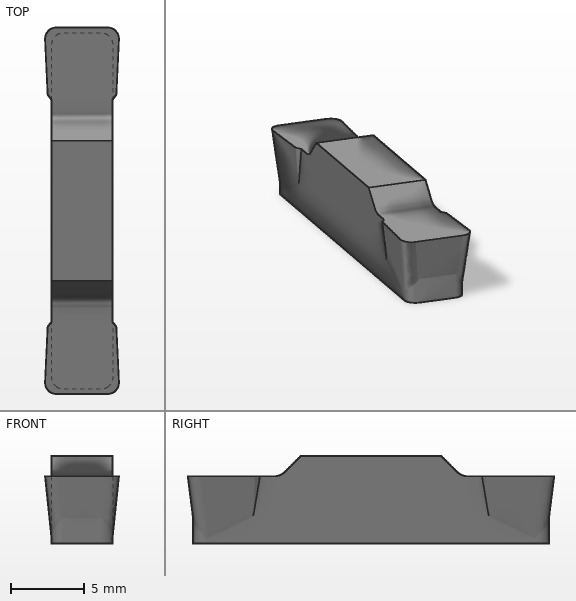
import cadquery as cq
import math

length = 25.02
height = 5.98
ledge_height = 4.6
body_width = 4.18
body_length = 24.3
plateau_length = 9.58
ramp_angle = 45.0
ramp_foot_radius = 1.0
corner_radius = 0.8

shoulder_half_width = 2.35
shoulder_y = 7.93
shoulder_drift = 0.036
shoulder_radius = 0.15
side_taper_angle = 2.7
side_relief_angle = 5.6
front_relief_angle = 7.2
rear_face_angle = 54.0
head_root_half_width = 1.5


def tangent(angle):
    return math.tan(math.radians(angle))


def make_body():
    """Bar with rounded vertical ends and filleted ramps up to the plateau."""
    half_body = body_length / 2
    half_plateau = plateau_length / 2
    ramp_foot = half_plateau + (height - ledge_height) / tangent(ramp_angle)
    profile = [
        (-half_body, 0),
        (half_body, 0),
        (half_body, ledge_height),
        (ramp_foot, ledge_height),
        (half_plateau, height),
        (-half_plateau, height),
        (-ramp_foot, ledge_height),
        (-half_body, ledge_height),
    ]
    body = cq.Workplane("YZ").polyline(profile).close().extrude(body_width / 2, both=True)
    body = body.edges("|Z").fillet(corner_radius)
    margin = 0.25
    ramp_feet = cq.selectors.BoxSelector(
        (-body_width, -ramp_foot - margin, ledge_height - margin),
        (body_width, ramp_foot + margin, ledge_height + margin),
    )
    return body.edges("|X").edges(ramp_feet).fillet(ramp_foot_radius)


def head_section(depth):
    """Right half of the +Y head outline, rear to front, at a depth below the ledge."""
    front_y = length / 2 - depth * tangent(front_relief_angle)
    rear_y = shoulder_y + shoulder_drift * depth
    front_x = (
        shoulder_half_width
        + (front_y - shoulder_y) * tangent(side_taper_angle)
        - depth * tangent(side_relief_angle)
    )
    rear_x = front_x - (front_y - rear_y) * tangent(side_taper_angle)
    root_y = rear_y - (rear_x - head_root_half_width) * tangent(rear_face_angle)
    return [(head_root_half_width, root_y), (rear_x, rear_y), (front_x, front_y)]


def make_head():
    """Head at the +Y end, with rounded front corners and softened shoulders."""

    def outline(depth):
        right = head_section(depth)
        left = [(-x, y) for x, y in reversed(right)]
        return right + left

    head = (
        cq.Workplane("XY")
        .polyline(outline(ledge_height)).close()
        .workplane(offset=ledge_height)
        .polyline(outline(0)).close()
        .loft(ruled=True, combine=True)
    )
    _, shoulder_top, front_top = head_section(0)
    _, shoulder_bottom, front_bottom = head_section(ledge_height)

    def round_pair(solid, top, bottom, radius):
        """Fillet the mirrored pair of upright edges through the given corners."""
        middle_x = (top[0] + bottom[0]) / 2
        middle_y = (top[1] + bottom[1]) / 2
        for side in (-1, 1):
            nearest = cq.selectors.NearestToPointSelector(
                (side * middle_x, middle_y, ledge_height / 2)
            )
            solid = solid.edges(nearest).fillet(radius)
        return solid

    head = round_pair(head, front_top, front_bottom, corner_radius)
    return round_pair(head, shoulder_top, shoulder_bottom, shoulder_radius)


head = make_head()
result = make_body().union(head).union(head.mirror("XZ")).clean()